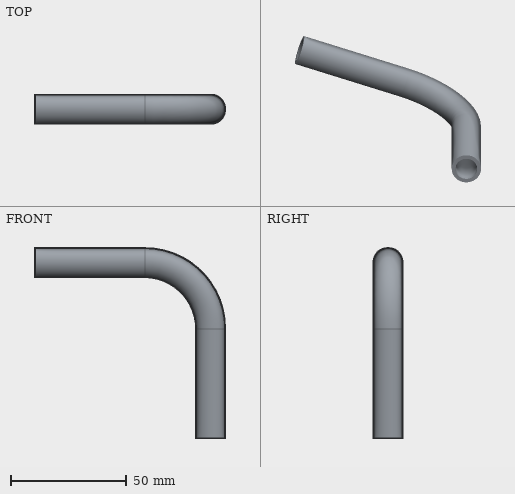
import cadquery as cq

outer_diameter = 12.7
inner_diameter = 9.4
leg_length = 76.2
bend_radius = 28.575
bend_angle = 90

straight_length = leg_length - bend_radius

bend_start = (-bend_radius, 0, 0)
bend_end = (0, 0, -bend_radius)


def tube_ring(origin, direction):
    """Annular cross-section of the tube, square to the given direction."""
    plane = cq.Plane(origin=origin, xDir=(0, 1, 0), normal=direction)
    return (
        cq.Workplane(plane)
        .circle(outer_diameter / 2)
        .circle(inner_diameter / 2)
    )


def straight_leg(origin, direction):
    """Straight tube from the origin along the direction."""
    return tube_ring(origin, direction).extrude(straight_length)


def bend():
    """Quarter-turn elbow from the horizontal leg down to the vertical leg."""
    axis_start = (0, -bend_radius)
    axis_end = (1, -bend_radius)
    return tube_ring(bend_start, (1, 0, 0)).revolve(bend_angle, axis_start, axis_end)


horizontal_leg = straight_leg(bend_start, (-1, 0, 0))
vertical_leg = straight_leg(bend_end, (0, 0, -1))

result = horizontal_leg.union(bend()).union(vertical_leg)